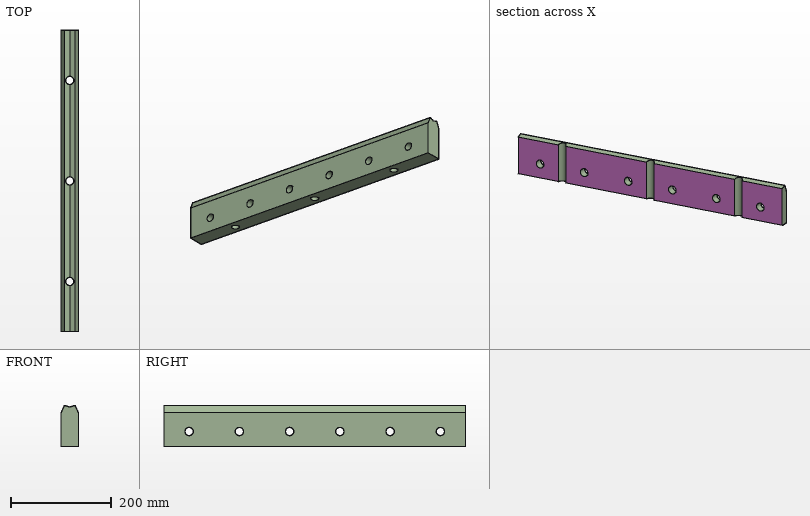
import cadquery as cq

width = 35.0
length = 600.0
height = 82.15

crown_width = 21.3
crown_height = 14.8
groove_depth = 3.3

hole_diameter = 16.0
top_hole_count = 3
side_hole_count = 6
side_hole_height = 30.0


def bar():
    """Profile in the XZ plane, extruded along the bar and centred on Y."""
    half_width = width / 2
    half_crown = crown_width / 2
    shoulder = height - crown_height
    profile = [
        (-half_width, 0),
        (half_width, 0),
        (half_width, shoulder),
        (half_crown, height),
        (0, height - groove_depth),
        (-half_crown, height),
        (-half_width, shoulder),
    ]
    return cq.Workplane("XZ").polyline(profile).close().extrude(length / 2, both=True)


def hole_positions(count):
    """Y positions of evenly spaced holes, half a pitch in from each end."""
    pitch = length / count
    return [-length / 2 + pitch * (i + 0.5) for i in range(count)]


def top_holes():
    """Vertical holes through the full height, on the groove line."""
    centres = [(0, y) for y in hole_positions(top_hole_count)]
    return cq.Workplane("XY").pushPoints(centres).circle(hole_diameter / 2).extrude(height)


def side_holes():
    """Cross holes through the full width."""
    centres = [(y, side_hole_height) for y in hole_positions(side_hole_count)]
    plane = cq.Workplane("YZ").pushPoints(centres)
    return plane.circle(hole_diameter / 2).extrude(width / 2, both=True)


result = bar().cut(top_holes()).cut(side_holes())